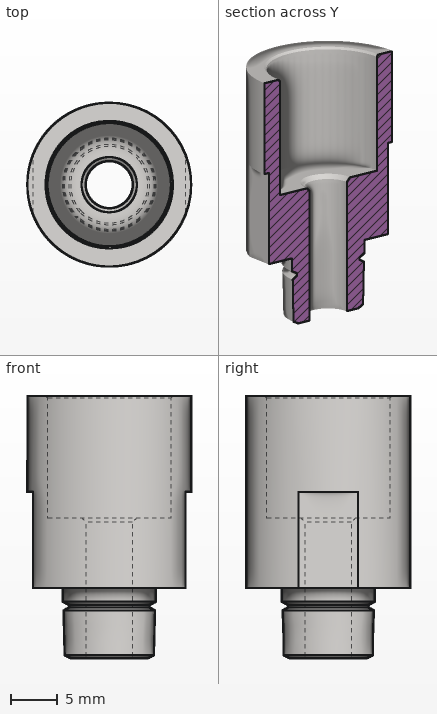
import cadquery as cq

body_diameter = 17.5
body_length = 20.5

flat_width_across = 16.3
flat_height = body_length / 2

spigot_length = 7.5
collar_diameter = 9.96
collar_length = 1.45
groove_diameter = 8.6
groove_top_depth = 1.8
groove_bottom_depth = 2.05
taper_top_diameter = 9.78
taper_top_depth = 2.4
taper_bottom_diameter = 9.55
tip_diameter = 8.2
tip_chamfer_height = 0.35

bore_diameter = 13.15
bore_depth = 13.0
bore_mouth_diameter = 13.6
hole_diameter = 5.0
hole_mouth_diameter = 5.9

spigot_bottom = -spigot_length
bore_floor = body_length - bore_depth


def revolve_profile(points):
    """Turn a closed (radius, height) outline about the Z axis."""
    return cq.Workplane("XZ").polyline(points).close().revolve(360, (0, 0, 0), (0, 1, 0))


def make_turned_outside():
    """Body and spigot, with the relief groove, tapered shank and chamfered tip."""
    return revolve_profile([
        (0, body_length),
        (body_diameter / 2, body_length),
        (body_diameter / 2, 0),
        (collar_diameter / 2, 0),
        (collar_diameter / 2, -collar_length),
        (groove_diameter / 2, -groove_top_depth),
        (groove_diameter / 2, -groove_bottom_depth),
        (taper_top_diameter / 2, -taper_top_depth),
        (taper_bottom_diameter / 2, spigot_bottom + tip_chamfer_height),
        (tip_diameter / 2, spigot_bottom),
        (0, spigot_bottom),
    ])


def make_inside():
    """Stepped bore with a chamfered mouth and a chamfered hole edge."""
    bore_chamfer = (bore_mouth_diameter - bore_diameter) / 2
    hole_chamfer = (hole_mouth_diameter - hole_diameter) / 2
    return revolve_profile([
        (0, body_length),
        (bore_mouth_diameter / 2, body_length),
        (bore_diameter / 2, body_length - bore_chamfer),
        (bore_diameter / 2, bore_floor),
        (hole_mouth_diameter / 2, bore_floor),
        (hole_diameter / 2, bore_floor - hole_chamfer),
        (hole_diameter / 2, spigot_bottom),
        (0, spigot_bottom),
    ])


def make_flat_cutters():
    """Blocks removed on the -X and +X sides to leave the wrench flats."""
    cut_depth = (body_diameter - flat_width_across) / 2
    cut_center = (flat_width_across + cut_depth) / 2
    return (
        cq.Workplane("XY")
        .pushPoints([(-cut_center, 0), (cut_center, 0)])
        .rect(cut_depth, body_diameter)
        .extrude(flat_height)
    )


result = make_turned_outside().cut(make_inside()).cut(make_flat_cutters())